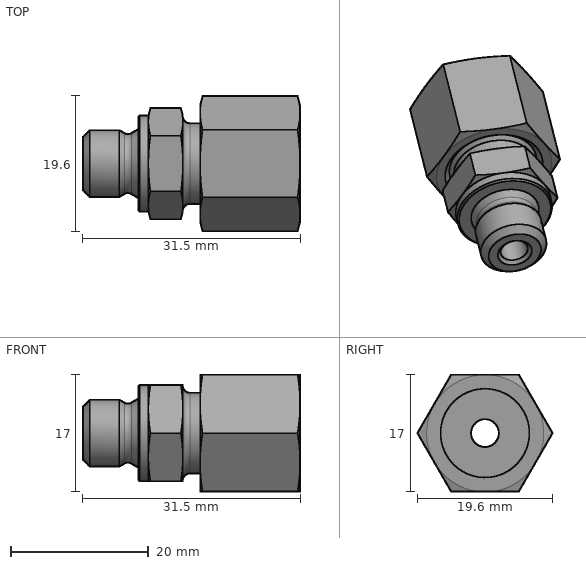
import cadquery as cq
import math

TOTAL_LENGTH = 31.5

BORE_RADIUS = 2.0
BORE_MOUTH_RADIUS = 2.5
BORE_CHAMFER = BORE_MOUTH_RADIUS - BORE_RADIUS

STUB_RADIUS = 4.864
STUB_CHAMFER = 1.0
GROOVE_CENTER_X = 6.52
GROOVE_FLOOR_RADIUS = 4.3
GROOVE_ROUND = 1.0
GROOVE_FLANK_ANGLE = math.radians(30)

COLLAR_START_X = 8.0
COLLAR_RADIUS = 7.0
COLLAR_CHAMFER = 0.25

BODY_HEX_START_X = 9.5
BODY_HEX_END_X = 14.5
BODY_HEX_FLATS = 14.0

NECK_RADIUS = 5.875
NECK_FILLET = 1.0
FLARE_START_X = 17.19

NUT_START_X = 17.0
NUT_FLATS = 17.0
NUT_MOUTH_RADIUS = 7.2

HEX_CHAMFER_ANGLE = math.radians(15)

STUD_START_X = (NUT_START_X + NUT_MOUTH_RADIUS + FLARE_START_X - NECK_RADIUS) / 2
STUD_RADIUS = NECK_RADIUS + STUD_START_X - FLARE_START_X


def revolve_about_x(profile):
    """Turn a closed profile, drawn as (x, radius), into a solid of revolution."""
    return profile.close().revolve(360, (0, 0, 0), (1, 0, 0))


def chamfered_hexagon(start_x, end_x, flats):
    """Hexagonal prism along X, corners on +-Y, cut at both ends by a cone down to the flats."""
    corner_radius = flats / 2 / math.cos(math.radians(30))
    cone_depth = (corner_radius - flats / 2) * math.tan(HEX_CHAMFER_ANGLE)
    prism = (
        cq.Workplane("YZ", origin=(start_x, 0, 0))
        .polygon(6, 2 * corner_radius)
        .extrude(end_x - start_x)
    )
    envelope = revolve_about_x(
        cq.Workplane("XY")
        .moveTo(start_x, 0)
        .lineTo(start_x, flats / 2)
        .lineTo(start_x + cone_depth, corner_radius)
        .lineTo(end_x - cone_depth, corner_radius)
        .lineTo(end_x, flats / 2)
        .lineTo(end_x, 0)
    )
    return prism.intersect(envelope)


def turned_front():
    """Thread stub, undercut groove and sealing collar, up to the hexagon."""
    flank_slope = math.tan(GROOVE_FLANK_ANGLE)
    round_half_width = GROOVE_ROUND * math.sin(GROOVE_FLANK_ANGLE)
    round_edge_radius = GROOVE_FLOOR_RADIUS + GROOVE_ROUND * (1 - math.cos(GROOVE_FLANK_ANGLE))
    round_start_x = GROOVE_CENTER_X - round_half_width
    round_end_x = GROOVE_CENTER_X + round_half_width
    groove_start_x = round_start_x - (STUB_RADIUS - round_edge_radius) / flank_slope
    groove_end_radius = round_edge_radius + (COLLAR_START_X - round_end_x) * flank_slope
    return revolve_about_x(
        cq.Workplane("XY")
        .moveTo(0, 0)
        .lineTo(0, STUB_RADIUS - STUB_CHAMFER)
        .lineTo(STUB_CHAMFER, STUB_RADIUS)
        .lineTo(groove_start_x, STUB_RADIUS)
        .lineTo(round_start_x, round_edge_radius)
        .threePointArc((GROOVE_CENTER_X, GROOVE_FLOOR_RADIUS), (round_end_x, round_edge_radius))
        .lineTo(COLLAR_START_X, groove_end_radius)
        .lineTo(COLLAR_START_X, COLLAR_RADIUS - COLLAR_CHAMFER)
        .lineTo(COLLAR_START_X + COLLAR_CHAMFER, COLLAR_RADIUS)
        .lineTo(BODY_HEX_START_X, COLLAR_RADIUS)
        .lineTo(BODY_HEX_START_X, 0)
    )


def turned_rear():
    """Filleted neck, flare and the stud that runs through the nut."""
    return revolve_about_x(
        cq.Workplane("XY")
        .moveTo(BODY_HEX_END_X, 0)
        .lineTo(BODY_HEX_END_X, NECK_RADIUS + NECK_FILLET)
        .radiusArc((BODY_HEX_END_X + NECK_FILLET, NECK_RADIUS), -NECK_FILLET)
        .lineTo(FLARE_START_X, NECK_RADIUS)
        .lineTo(STUD_START_X, STUD_RADIUS)
        .lineTo(TOTAL_LENGTH, STUD_RADIUS)
        .lineTo(TOTAL_LENGTH, 0)
    )


def through_bore():
    """Cylinder through the whole length, widened by a chamfer at the stub end."""
    return revolve_about_x(
        cq.Workplane("XY")
        .moveTo(0, 0)
        .lineTo(0, BORE_MOUTH_RADIUS)
        .lineTo(BORE_CHAMFER, BORE_RADIUS)
        .lineTo(TOTAL_LENGTH, BORE_RADIUS)
        .lineTo(TOTAL_LENGTH, 0)
    )


def make_body():
    hexagon = chamfered_hexagon(BODY_HEX_START_X, BODY_HEX_END_X, BODY_HEX_FLATS)
    return turned_front().union(hexagon).union(turned_rear()).cut(through_bore())


def make_nut():
    """Hexagon nut with a countersunk mouth and a bore that fits the stud."""
    bore = revolve_about_x(
        cq.Workplane("XY")
        .moveTo(NUT_START_X, 0)
        .lineTo(NUT_START_X, NUT_MOUTH_RADIUS)
        .lineTo(STUD_START_X, STUD_RADIUS)
        .lineTo(TOTAL_LENGTH, STUD_RADIUS)
        .lineTo(TOTAL_LENGTH, 0)
    )
    return chamfered_hexagon(NUT_START_X, TOTAL_LENGTH, NUT_FLATS).cut(bore)


body = make_body()
nut = make_nut()

result = cq.Compound.makeCompound([body.val(), nut.val()])